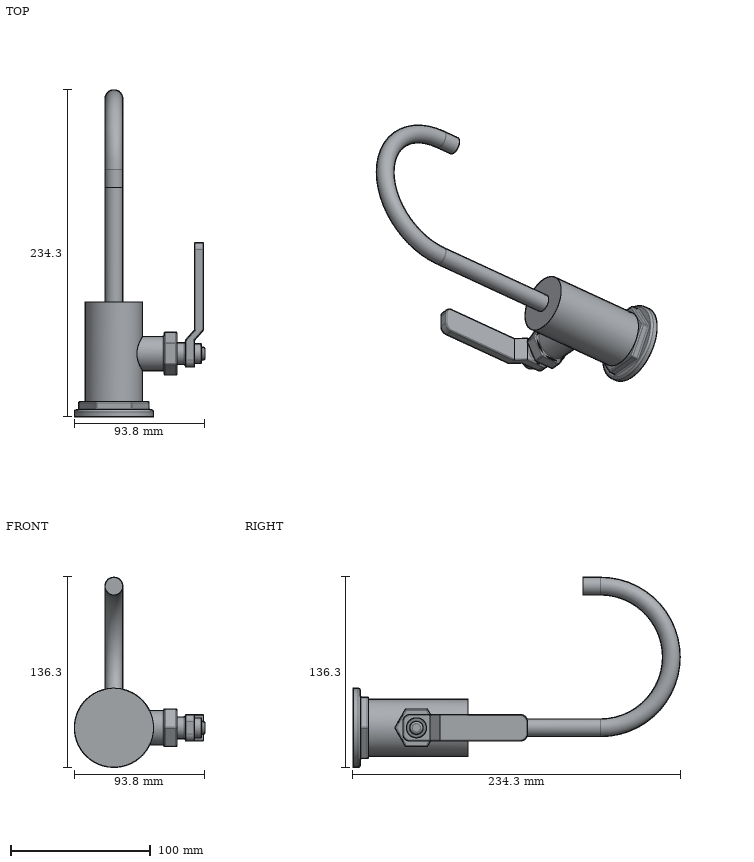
import cadquery as cq
import math


FLANGE_RADIUS = 28.4
FLANGE_THICKNESS = 5.1
FLANGE_ROUND = 1.5
BASE_HEX_FLATS = 44.0
BASE_HEX_TOP = 11.0
BODY_RADIUS = 20.6
BODY_TOP = 82.3

OVERALL_LENGTH = 234.26
OVERALL_HEIGHT = 136.27
SPOUT_RADIUS = 6.4
SPOUT_TIP_LENGTH = 12.7
SPOUT_RISE = OVERALL_HEIGHT - FLANGE_RADIUS - SPOUT_RADIUS
BEND_RADIUS = SPOUT_RISE / 2
BEND_START = OVERALL_LENGTH - SPOUT_RADIUS - BEND_RADIUS

VALVE_Y = 45.3
BRANCH_RADIUS = 12.4
VALVE_HEX_START = 36.0
VALVE_HEX_END = 45.2
VALVE_HEX_FLATS = 27.0
STEM_RADIUS = 7.9
LEVER_START = 51.2
LEVER_THICKNESS = 6.6
NUT_RADIUS = 7.2
NUT_LENGTH = 4.9
NUT_ROUND = 0.7
BUTTON_RADIUS = 4.7
BUTTON_ROUND = 1.7
OVERALL_WIDTH = 93.76
BUTTON_END = OVERALL_WIDTH - FLANGE_RADIUS

LEVER_WIDTH = 19.0
LEVER_BOTTOM = 35.6
LEVER_TOP = 124.8
LEVER_OFFSET = 6.4
LEVER_CORNER_RADIUS = 5.0
LEVER_EDGE_ROUND = 0.7
CRANK_START = 54.9
CRANK_END = 62.1

EDGE_ROUND = 1.0


def hexagon(plane, flats, length):
    """Hexagonal prism with its six upright edges rounded and a corner on the plane's x axis."""
    across_corners = flats / math.cos(math.pi / 6)
    prism = cq.Workplane(plane).polygon(6, across_corners).extrude(length)
    return prism.edges(cq.selectors.ParallelDirSelector(plane.zDir)).fillet(EDGE_ROUND)


def valve_plane(x):
    """Plane facing +X on the valve axis, with its local x axis along +Y."""
    return cq.Plane(origin=(x, VALVE_Y, 0), xDir=(0, 1, 0), normal=(1, 0, 0))


def body_plane(y):
    """Plane facing +Y on the body axis, with its local x axis along +X."""
    return cq.Plane(origin=(0, y, 0), xDir=(1, 0, 0), normal=(0, 1, 0))


def flared_round(radius, start, end):
    """Round bar on the valve axis that flares out where it meets a face at its +X end."""
    bend_middle = EDGE_ROUND * (1 - math.sqrt(0.5))
    return (
        cq.Workplane("XY", origin=(0, VALVE_Y, 0))
        .moveTo(start, 0)
        .lineTo(start, radius)
        .lineTo(end - EDGE_ROUND, radius)
        .threePointArc((end - bend_middle, radius + bend_middle), (end, radius + EDGE_ROUND))
        .lineTo(end, 0)
        .close()
        .revolve(360, (0, 0, 0), (1, 0, 0))
    )


def make_base():
    """Wall flange, hexagon and cylindrical body."""
    flange = cq.Workplane(body_plane(0)).circle(FLANGE_RADIUS).extrude(FLANGE_THICKNESS)
    flange = flange.faces(">Y").edges().fillet(FLANGE_ROUND)
    base_hex = hexagon(body_plane(FLANGE_THICKNESS), BASE_HEX_FLATS, BASE_HEX_TOP - FLANGE_THICKNESS)
    base_hex = base_hex.faces(">Y").edges().fillet(EDGE_ROUND)
    base = flange.union(base_hex)
    hex_foot = cq.selectors.BoxSelector(
        (-BASE_HEX_FLATS, FLANGE_THICKNESS - EDGE_ROUND / 2, -BASE_HEX_FLATS),
        (BASE_HEX_FLATS, FLANGE_THICKNESS + EDGE_ROUND / 2, BASE_HEX_FLATS),
    )
    base = base.edges(hex_foot).edges("%LINE").fillet(EDGE_ROUND)
    body = cq.Workplane(body_plane(0)).circle(BODY_RADIUS).extrude(BODY_TOP)
    return base.union(body)


def make_spout():
    """Solid spout: a straight run, a half-circle bend and a short tip."""
    path = (
        cq.Workplane("YZ")
        .moveTo(BODY_TOP - SPOUT_RADIUS, 0)
        .lineTo(BEND_START, 0)
        .threePointArc((BEND_START + BEND_RADIUS, BEND_RADIUS), (BEND_START, SPOUT_RISE))
        .lineTo(BEND_START - SPOUT_TIP_LENGTH, SPOUT_RISE)
    )
    return cq.Workplane(body_plane(BODY_TOP - SPOUT_RADIUS)).circle(SPOUT_RADIUS).sweep(path)


def make_lever():
    """Cranked flat lever with rounded corners and rims."""
    inner = LEVER_START
    outer = LEVER_START + LEVER_THICKNESS
    lever = (
        cq.Workplane("XY")
        .polyline([
            (inner, LEVER_BOTTOM),
            (outer, LEVER_BOTTOM),
            (outer, CRANK_START),
            (outer + LEVER_OFFSET, CRANK_END),
            (outer + LEVER_OFFSET, LEVER_TOP),
            (inner + LEVER_OFFSET, LEVER_TOP),
            (inner + LEVER_OFFSET, CRANK_END),
            (inner, CRANK_START),
        ])
        .close()
        .extrude(LEVER_WIDTH / 2, both=True)
    )
    lever = lever.faces("<Y or >Y").edges("|X").fillet(LEVER_CORNER_RADIUS)
    crank_middle = (CRANK_START + CRANK_END) / 2
    rim = lever.newObject([])
    for face_x in (inner, outer):
        rim_middles = [
            (face_x, VALVE_Y),
            (face_x + LEVER_OFFSET / 2, crank_middle),
            (face_x + LEVER_OFFSET, (CRANK_END + LEVER_TOP) / 2),
        ]
        for x, y in rim_middles:
            for z in (-LEVER_WIDTH / 2, LEVER_WIDTH / 2):
                rim = rim.add(lever.edges(cq.selectors.NearestToPointSelector((x, y, z))))
    return rim.fillet(LEVER_EDGE_ROUND)


def make_nut():
    """Round nut outside the lever, with a small button on its end."""
    nut_start = LEVER_START + LEVER_THICKNESS
    nut_end = nut_start + NUT_LENGTH
    nut = cq.Workplane(valve_plane(nut_start)).circle(NUT_RADIUS).extrude(NUT_LENGTH)
    button = cq.Workplane(valve_plane(nut_start)).circle(BUTTON_RADIUS).extrude(BUTTON_END - nut_start)
    nut = nut.union(button)
    nut = nut.faces(">X").edges().fillet(BUTTON_ROUND)
    end_circles = cq.selectors.BoxSelector(
        (nut_end - NUT_ROUND / 2, VALVE_Y - NUT_RADIUS, -NUT_RADIUS),
        (nut_end + NUT_ROUND / 2, VALVE_Y + NUT_RADIUS, NUT_RADIUS),
    )
    return nut.edges(end_circles).edges("%CIRCLE").fillet(NUT_ROUND)


def make_valve():
    """Branch, hexagon, stem, lever and nut along the valve axis."""
    branch = flared_round(BRANCH_RADIUS, 0, VALVE_HEX_START)
    valve_hex = hexagon(valve_plane(VALVE_HEX_START), VALVE_HEX_FLATS, VALVE_HEX_END - VALVE_HEX_START)
    valve_hex = valve_hex.faces("<X or >X").edges().fillet(EDGE_ROUND)
    stem = flared_round(STEM_RADIUS, VALVE_HEX_START, LEVER_START)
    return branch.union(valve_hex).union(stem).union(make_lever()).union(make_nut())


result = make_base().union(make_spout()).union(make_valve())